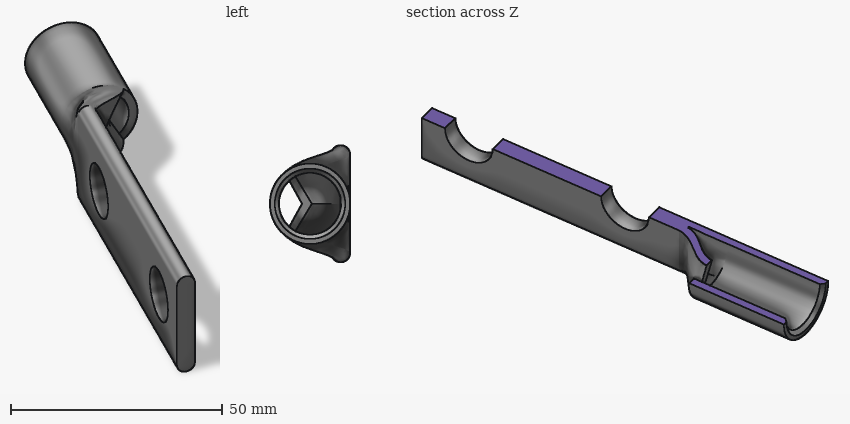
import cadquery as cq
import math

length = 112.8
plate_width = 27.7
barrel_diameter = 19.1

barrel_radius = barrel_diameter / 2
bore_radius = 7.3
mouth_chamfer = 1.0
barrel_length = 27.1

plate_start = 39.5
plate_thickness = 4.5
plate_front = -barrel_radius
plate_back = plate_front + plate_thickness
plate_middle = plate_front + plate_thickness / 2
edge_radius = plate_thickness / 2
flat_half_width = plate_width / 2 - edge_radius

hole_diameter = 13.5
hole_spacing = 44.4
hole_end_distance = 13.4

dent_apex = 1.9
cavity_apex = -0.5
lip_angle = 51.0
cavity_lip_angle = 62.0
crease_angle = 113.0
cavity_end = 38.3
slit_half_thickness = 0.1
neck_sections = 5


def on_circle(radius, angle):
    """Point (y, z) on a circle about the barrel axis, angle measured from +Y."""
    radians = math.radians(angle)
    return radius * math.cos(radians), radius * math.sin(radians)


def dented_circle(radius, tip_angle, apex):
    """Control points (y, z): V apex, lip tip, side, crease and front middle."""
    return [
        (apex, 0),
        on_circle(radius, tip_angle),
        on_circle(radius, (tip_angle + crease_angle) / 2),
        on_circle(radius, crease_angle),
        (-radius, 0),
    ]


def flat_bar(half_thickness):
    """Control points of a round-edged bar, matching those of dented_circle."""
    back = plate_middle + half_thickness
    front = plate_middle - half_thickness
    return [
        (back, 0),
        (back, flat_half_width),
        (plate_middle, flat_half_width + half_thickness),
        (front, flat_half_width),
        (front, 0),
    ]


def blend(start, end, fraction):
    """Move Z evenly and ease Y in and out, giving the neck its S-shaped bend."""
    eased = fraction**2 * (3 - 2 * fraction)
    return [
        (y0 + (y1 - y0) * eased, z0 + (z1 - z0) * fraction)
        for (y0, z0), (y1, z1) in zip(start, end)
    ]


def section_wire(x, points):
    """Closed section, symmetric about Z = 0, in the plane at the given X."""
    apex, tip, side, crease, front = [cq.Vector(x, y, z) for y, z in points]
    low_tip, low_side, low_crease = [cq.Vector(x, y, -z) for y, z in points[1:4]]
    if math.isclose(crease.y, front.y):
        front_edge = cq.Edge.makeLine(crease, low_crease)
    else:
        front_edge = cq.Edge.makeThreePointArc(crease, front, low_crease)
    return cq.Wire.assembleEdges([
        cq.Edge.makeLine(apex, tip),
        cq.Edge.makeThreePointArc(tip, side, crease),
        front_edge,
        cq.Edge.makeThreePointArc(low_crease, low_side, low_tip),
        cq.Edge.makeLine(low_tip, apex),
    ])


def neck_loft(start, end, end_x):
    """Solid that flattens smoothly from the barrel end to end_x."""
    wires = []
    for index in range(neck_sections):
        fraction = index / (neck_sections - 1)
        x = barrel_length + (end_x - barrel_length) * fraction
        wires.append(section_wire(x, blend(start, end, fraction)))
    return cq.Workplane(cq.Solid.makeLoft(wires))


def make_barrel():
    tube = cq.Workplane("YZ").circle(barrel_radius).circle(bore_radius).extrude(barrel_length)
    mouth = cq.Solid.makeCone(
        bore_radius + mouth_chamfer, bore_radius, mouth_chamfer,
        pnt=cq.Vector(0, 0, 0), dir=cq.Vector(1, 0, 0),
    )
    return tube.cut(cq.Workplane(mouth))


def make_neck():
    outside = neck_loft(
        dented_circle(barrel_radius, lip_angle, dent_apex), flat_bar(edge_radius), plate_start
    )
    cavity = neck_loft(
        dented_circle(bore_radius, cavity_lip_angle, cavity_apex),
        flat_bar(slit_half_thickness), cavity_end,
    )
    return outside.cut(cavity)


def make_plate():
    profile = section_wire(plate_start, flat_bar(edge_radius))
    travel = cq.Vector(length - plate_start, 0, 0)
    plate = cq.Workplane(cq.Solid.extrudeLinear(profile, [], travel))
    last_hole = length - hole_end_distance
    for hole_x in (last_hole - hole_spacing, last_hole):
        hole = (
            cq.Workplane("XZ", origin=(hole_x, plate_back, 0))
            .circle(hole_diameter / 2)
            .extrude(plate_thickness)
        )
        plate = plate.cut(hole)
    return plate


result = make_barrel().union(make_neck()).union(make_plate())